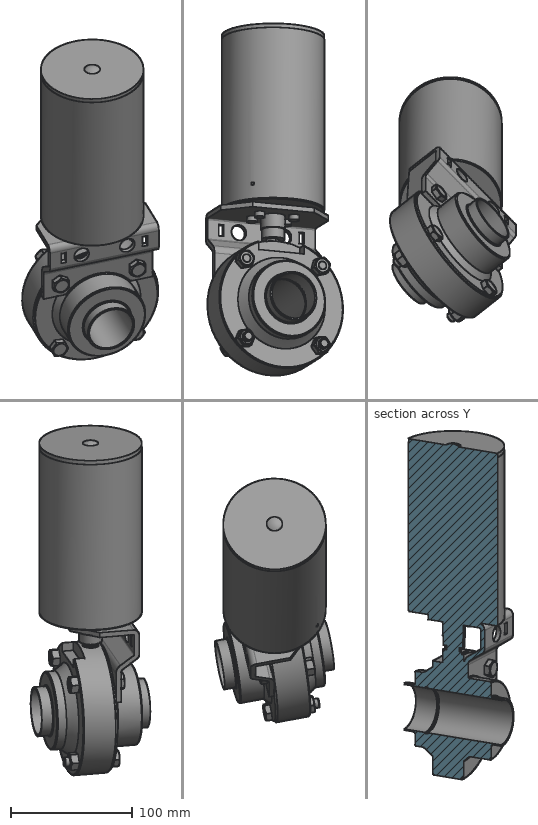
import cadquery as cq
import math


PIPE_LENGTH = 92.0
PIPE_OD = 41.0
PIPE_BORE = 38.0
FLANGE_REACH = 36.2
WELD_COLLAR_OD = 43.0
WELD_COLLAR_LENGTH = 0.8
FLANGE_EDGE_CHAMFER = 1.0
INLET_FLANGE_OD = 65.0
OUTLET_FLANGE_OD = 68.0
CONE_OD = 77.4
INLET_CONE_START = -28.0
OUTLET_CONE_END = 15.5

SEAT_DIAMETER = 40.0
SEAT_WIDTH = 2.0
SEAT_START = -26.0

BODY_OD = 110.0
BODY_INLET_FACE = -19.2
BODY_RIM_END = 8.5
BODY_OUTLET_FACE = 10.3
BODY_EDGE_CHAMFER = 0.9
BACK_STEP = 1.5
NOTCH_WIDTH = 40.0
NOTCH_DEPTH = 9.4
NOTCH_FLOOR = 43.8

BOLT_OFFSET = 33.6
BOLT_DIAMETER = 8.0
BOLT_TIP_CHAMFER = 0.67
BOLT_SHANK = 40.8
HEX_ACROSS_FLATS = 13.0
BOLT_HEAD_HEIGHT = 5.3
UPPER_NUT_TURN = -15.0
UPPER_HEAD_TURN = 30.0
LOWER_HEX_TURN = -7.0
NUT_HEIGHT = 7.0
HEX_FACE_DIAMETER = 11.63
HEX_BEVEL_ANGLE = 30.0

BRACKET_THICKNESS = 4.2
BRACKET_WIDTH = 95.5
BRACKET_TOP = 82.7
BRACKET_FOOT = 20.3
BRACKET_BACK = 30.1
BRACKET_FRONT = -23.8
BRACKET_CORNER_CHAMFER = 20.4
WEB_BEND_INNER_RADIUS = 1.0
LEG_BEND_RADIUS = 8.4
WEB_LOW_OUTER = 58.4
LEG_BEND_OUTER = 47.8
WEB_HOLE_LEVEL = 68.9
WEB_HOLE_DIAMETER = 13.0
WEB_HOLE_OFFSET = 20.0
WEB_SLOT_LEVEL = 69.4
WEB_SLOT_OFFSET = 35.6
WEB_SLOT_WIDTH = 4.4
WEB_SLOT_HEIGHT = 9.6

COUPLING_OD = 20.0
COUPLING_LOWER_OD = 19.0
COUPLING_STEP = 66.8
COUPLING_EDGE_CHAMFER = 0.4
COUPLING_BOTTOM = 58.6
STEM_SQUARE = 8.5
STEM_TURN = 45.0
STEM_COLLAR_OD = 14.0
STEM_COLLAR_CHAMFER = 0.9
STEM_COLLAR_TOP = 55.9
STEM_ROOT = 45.0
SCREW_HEAD_DIAMETER = 8.5
SCREW_HEAD_HEIGHT = 4.2
SCREW_CIRCLE_RADIUS = 17.6
SCREW_ANGLES = (60, 120, 240, 300)

ACTUATOR_OD = 85.0
LID_OD = 84.8
LID_THICKNESS = 3.5
ACTUATOR_TOP = 232.0
ACTUATOR_EDGE_CHAMFER = 1.0
DOME_DIAMETER = 13.0
DOME_TOP = 233.96
VENT_DIAMETER = 2.5
VENT_HEIGHT = 96.5
VENT_ANGLE = 135.0
VENT_DEPTH = 5.0


def cylinder_x(diameter, start, end):
    """Cylinder on the X axis from X = start to X = end."""
    return cq.Workplane("YZ", origin=(start, 0, 0)).circle(diameter / 2).extrude(end - start)


def cylinder_z(diameter, bottom, top):
    """Cylinder on the Z axis from Z = bottom to Z = top."""
    return cq.Workplane("XY", origin=(0, 0, bottom)).circle(diameter / 2).extrude(top - bottom)


def make_valve_body():
    """Turned profile of pipe ends, flanges and round body, notched at the top front."""
    pipe = PIPE_OD / 2
    pipe_end = PIPE_LENGTH / 2
    collar = WELD_COLLAR_OD / 2
    collar_end = FLANGE_REACH + WELD_COLLAR_LENGTH
    inlet = INLET_FLANGE_OD / 2
    outlet = OUTLET_FLANGE_OD / 2
    edge = FLANGE_EDGE_CHAMFER
    rim = BODY_OD / 2
    back = rim - BACK_STEP
    profile = [
        (-pipe_end, 0),
        (-pipe_end, pipe),
        (-collar_end, pipe),
        (-FLANGE_REACH, collar),
        (-FLANGE_REACH, inlet - edge),
        (-FLANGE_REACH + edge, inlet),
        (INLET_CONE_START, inlet),
        (BODY_INLET_FACE, CONE_OD / 2),
        (BODY_INLET_FACE, rim - BODY_EDGE_CHAMFER),
        (BODY_INLET_FACE + BODY_EDGE_CHAMFER, rim),
        (BODY_RIM_END, rim),
        (BODY_RIM_END, back),
        (BODY_OUTLET_FACE, back),
        (BODY_OUTLET_FACE, CONE_OD / 2),
        (OUTLET_CONE_END, outlet),
        (FLANGE_REACH - edge, outlet),
        (FLANGE_REACH, outlet - edge),
        (FLANGE_REACH, collar),
        (collar_end, pipe),
        (pipe_end, pipe),
        (pipe_end, 0),
    ]
    body = cq.Workplane("XZ").polyline(profile).close().revolve(360, (0, 0, 0), (1, 0, 0))
    notch = cq.Workplane("XY").box(NOTCH_DEPTH, NOTCH_WIDTH, rim, centered=(False, True, False))
    return body.cut(notch.translate((BODY_INLET_FACE, 0, NOTCH_FLOOR)))


def make_bore():
    """Through bore with the wider seal seat."""
    bore = cylinder_x(PIPE_BORE, -PIPE_LENGTH / 2, PIPE_LENGTH / 2)
    return bore.union(cylinder_x(SEAT_DIAMETER, SEAT_START, SEAT_START + SEAT_WIDTH))


def make_hexagon(height, turn):
    """Hexagon from X = 0 to X = height, bevelled at X = 0; at turn = 0 a corner points along Y."""
    across_corners = HEX_ACROSS_FLATS / math.cos(math.radians(30))
    prism = cq.Workplane("YZ").polygon(6, across_corners).extrude(height)
    prism = prism.rotate((0, 0, 0), (1, 0, 0), turn)
    face_radius = HEX_FACE_DIAMETER / 2
    cone_radius = face_radius + height / math.tan(math.radians(HEX_BEVEL_ANGLE))
    cone_outline = [(0, 0), (0, face_radius), (height, cone_radius), (height, 0)]
    cone = cq.Workplane("XZ").polyline(cone_outline).close().revolve(360, (0, 0, 0), (1, 0, 0))
    return prism.intersect(cone)


def make_bolt(head_seat, nut_turn, head_turn):
    """Hexagon bolt seated at X = head_seat, with its nut on the inlet face of the body."""
    tip = head_seat - BOLT_SHANK
    shank = cylinder_x(BOLT_DIAMETER, tip, head_seat).faces("<X").chamfer(BOLT_TIP_CHAMFER)
    head = make_hexagon(BOLT_HEAD_HEIGHT, head_turn).mirror("YZ")
    head = head.translate((head_seat + BOLT_HEAD_HEIGHT, 0, 0))
    nut = make_hexagon(NUT_HEIGHT, nut_turn).translate((BODY_INLET_FACE - NUT_HEIGHT, 0, 0))
    return shank.union(head).union(nut)


def make_bracket():
    """Bent sheet: top plate, upright web, slope and leg, with openings in the web."""
    t = BRACKET_THICKNESS
    leg_outer = BODY_OUTLET_FACE + t
    slope = math.atan2(WEB_LOW_OUTER - LEG_BEND_OUTER, BRACKET_BACK - leg_outer)
    bend_shift = t * (1 - math.sin(slope)) / math.cos(slope)
    half_width = BRACKET_WIDTH / 2
    outline = [
        (BRACKET_FRONT, BRACKET_TOP),
        (BRACKET_BACK, BRACKET_TOP),
        (BRACKET_BACK, WEB_LOW_OUTER),
        (leg_outer, LEG_BEND_OUTER),
        (leg_outer, BRACKET_FOOT),
        (BODY_OUTLET_FACE, BRACKET_FOOT),
        (BODY_OUTLET_FACE, LEG_BEND_OUTER + bend_shift),
        (BRACKET_BACK - t, WEB_LOW_OUTER + bend_shift),
        (BRACKET_BACK - t, BRACKET_TOP - t),
        (BRACKET_FRONT, BRACKET_TOP - t),
    ]
    sheet = cq.Workplane("XZ").polyline(outline).close().extrude(half_width, both=True)
    bends = [
        (BRACKET_BACK, BRACKET_TOP, WEB_BEND_INNER_RADIUS + t),
        (BRACKET_BACK - t, BRACKET_TOP - t, WEB_BEND_INNER_RADIUS),
        (BRACKET_BACK, WEB_LOW_OUTER, WEB_BEND_INNER_RADIUS + t),
        (BRACKET_BACK - t, WEB_LOW_OUTER + bend_shift, WEB_BEND_INNER_RADIUS),
        (BODY_OUTLET_FACE, LEG_BEND_OUTER + bend_shift, LEG_BEND_RADIUS),
        (leg_outer, LEG_BEND_OUTER, LEG_BEND_RADIUS - t),
    ]
    for x, z, radius in bends:
        corner = cq.selectors.NearestToPointSelector((x, 0, z))
        sheet = sheet.edges(corner).fillet(radius)
    sheet = sheet.faces("<X").edges("|Z").chamfer(BRACKET_CORNER_CHAMFER)

    web_holes = cq.Workplane("YZ", origin=(BRACKET_BACK - 2 * t, 0, WEB_HOLE_LEVEL))
    web_holes = web_holes.pushPoints([(-WEB_HOLE_OFFSET, 0), (WEB_HOLE_OFFSET, 0)])
    web_slots = cq.Workplane("YZ", origin=(BRACKET_BACK - 2 * t, 0, WEB_SLOT_LEVEL))
    web_slots = web_slots.pushPoints([(-WEB_SLOT_OFFSET, 0), (WEB_SLOT_OFFSET, 0)])
    sheet = sheet.cut(web_holes.circle(WEB_HOLE_DIAMETER / 2).extrude(3 * t))
    return sheet.cut(web_slots.rect(WEB_SLOT_WIDTH, WEB_SLOT_HEIGHT).extrude(3 * t))


def make_coupling():
    """Stem collar, square stem, stepped coupling and the screw heads around it."""
    plate_underside = BRACKET_TOP - BRACKET_THICKNESS
    collar = cylinder_z(STEM_COLLAR_OD, STEM_ROOT, STEM_COLLAR_TOP).faces(">Z").chamfer(STEM_COLLAR_CHAMFER)
    stem = cq.Workplane("XY", origin=(0, 0, STEM_ROOT)).rect(STEM_SQUARE, STEM_SQUARE)
    stem = stem.extrude(COUPLING_STEP - STEM_ROOT).rotate((0, 0, 0), (0, 0, 1), STEM_TURN)
    lower = cylinder_z(COUPLING_LOWER_OD, COUPLING_BOTTOM, COUPLING_STEP)
    upper = cylinder_z(COUPLING_OD, COUPLING_STEP, BRACKET_TOP).faces("<Z").chamfer(COUPLING_EDGE_CHAMFER)
    coupling = collar.union(stem).union(lower).union(upper)
    for angle in SCREW_ANGLES:
        x = SCREW_CIRCLE_RADIUS * math.cos(math.radians(angle))
        y = SCREW_CIRCLE_RADIUS * math.sin(math.radians(angle))
        head = cylinder_z(SCREW_HEAD_DIAMETER, plate_underside - SCREW_HEAD_HEIGHT, BRACKET_TOP)
        coupling = coupling.union(head.translate((x, y, 0)))
    return coupling


def make_actuator():
    """Cylindrical housing with a lid, a low dome on top and a radial vent near the bottom."""
    lid_bottom = ACTUATOR_TOP - LID_THICKNESS
    housing = cylinder_z(ACTUATOR_OD, BRACKET_TOP, lid_bottom)
    housing = housing.faces("<Z").chamfer(ACTUATOR_EDGE_CHAMFER)
    housing = housing.union(cylinder_z(LID_OD, lid_bottom, ACTUATOR_TOP))
    rise = DOME_TOP - ACTUATOR_TOP
    dome_radius = ((DOME_DIAMETER / 2) ** 2 + rise ** 2) / (2 * rise)
    sphere = cq.Workplane("XY").sphere(dome_radius).translate((0, 0, DOME_TOP - dome_radius))
    dome = sphere.intersect(cylinder_z(DOME_DIAMETER, ACTUATOR_TOP - rise, DOME_TOP))
    vent = cylinder_x(VENT_DIAMETER, ACTUATOR_OD / 2 - VENT_DEPTH, ACTUATOR_OD)
    vent = vent.rotate((0, 0, 0), (0, 0, 1), VENT_ANGLE).translate((0, 0, VENT_HEIGHT))
    return housing.union(dome).cut(vent)


def make_valve():
    """All parts joined into one solid."""
    valve = make_valve_body().union(make_bracket())
    upper_bolt = make_bolt(BODY_OUTLET_FACE + BRACKET_THICKNESS, UPPER_NUT_TURN, UPPER_HEAD_TURN)
    lower_bolt = make_bolt(BODY_OUTLET_FACE, LOWER_HEX_TURN, LOWER_HEX_TURN)
    for y in (-BOLT_OFFSET, BOLT_OFFSET):
        valve = valve.union(upper_bolt.translate((0, y, BOLT_OFFSET)))
        valve = valve.union(lower_bolt.translate((0, y, -BOLT_OFFSET)))
    valve = valve.union(make_coupling()).union(make_actuator())
    return valve.cut(make_bore())


result = make_valve()